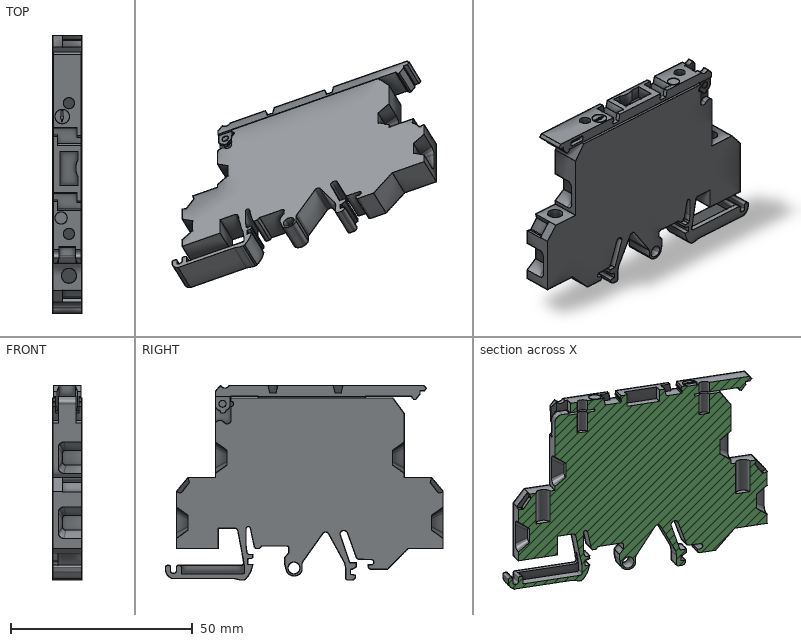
import cadquery as cq
import math

THICKNESS = 8.1
HEIGHT = 53.6
MID_Y = 1.5
LOWER_HALF = 36.7
UPPER_HALF = 26.0
SHOULDER_Z = 28.3
SHOULDER_BEVEL_Y = 3.2
SHOULDER_BEVEL_Z = 3.8
UNDERSIDE_Z = 8.7
BODY_TOP = 50.2
TOP_BEVEL_Y = 3.1
TOP_BEVEL_Z = 4.3

FRONT_LOWER = MID_Y - LOWER_HALF
FRONT_UPPER = MID_Y - UPPER_HALF
BACK_LOWER = MID_Y + LOWER_HALF
BACK_UPPER = MID_Y + UPPER_HALF

ROUND_INSET = 1 - math.sqrt(0.5)

COVER_BOTTOM = 50.65
COVER_INSET = 0.2
COVER_WIDTH = THICKNESS - 2 * COVER_INSET
PAD_INSET = 0.8
PAD_BACK, PAD_FRONT = 16.8, -12.7

CORE_INSET = 1.7
HINGE_BACK = -20.2
ARM_OUTER = 0.8
ARM_BACK = -20.4
ARM_TOOTH_Z = 46.05
PIVOT_Y, PIVOT_Z = -22.5, 48.6
PIVOT_RADIUS = 0.96
PIVOT_DEPTH = 0.15
CORE_ROUND = 2.15
NOTCH_BACK = -19.9
NOTCH_INSET = 1.8
NOTCH_MOUTH_INSET = 1.2
NOTCH_FLARE_START = -23.1

ENTRY_CENTRES_Z = (15.8, 33.7)
ENTRY_DEPTH = 3.2
ENTRY_MOUTH_X, ENTRY_MOUTH_HEIGHT, ENTRY_MOUTH_ROUND = 1.6, 8.65, 1.5
ENTRY_FLOOR_X, ENTRY_FLOOR_HEIGHT, ENTRY_FLOOR_ROUND = 2.75, 4.05, 0.9

SCREW_X = 4.5
SHOULDER_SCREW_OFFSET = 29.45
SHOULDER_SCREW_RADIUS = 2.1
COVER_SCREWS_Y = (19.6, -16.4)
COVER_SCREW_RADIUS = 1.5
SCREW_DEPTH = 9.2

SEAT_X = 2.75

LABEL_SLOT_OFFSETS = (0, -18.0)
LABEL_FLOOR = 51.55
LABEL_STEP_LEFT, LABEL_STEP_RIGHT = 1.4, 6.7

WINDOW_X0, WINDOW_X1 = 2.1, 6.95
WINDOW_Y0, WINDOW_Y1 = -3.1, 6.35

GRIP_Y, GRIP_Z = 26.8, 52.0
GRIP_LENGTH, GRIP_WIDTH, GRIP_DEPTH, GRIP_ROUND = 4.5, 1.45, 1.15, 0.45

DIALS = ((2.7, 15.9, 2.0), (2.4, -12.0, 1.7))
DIAL_DEPTH = 0.15

LEVER_TOP = 4.1
LEVER_FLOOR = 1.75
LEVER_RIB = 1.45
LEVER_LIP_Y = -33.8
LEVER_LIP_ROUND = 0.7
LEVER_ROOT = (-17.1, 7.4)

RING_Y, RING_Z = -2.8, 3.4
RING_BORE_RADIUS = 1.6


def profile(start, steps):
    """Closed YZ outline: a (y, z) step is a line, a (via, end) step is an arc."""
    wire = cq.Workplane("YZ").moveTo(*start)
    for first, second in steps:
        if isinstance(first, tuple):
            wire = wire.threePointArc(first, second)
        else:
            wire = wire.lineTo(first, second)
    return wire.close()


def slab(start, steps, x0, x1):
    """Extrude a YZ outline from x0 to x1."""
    return profile(start, steps).extrude(x1 - x0).translate((x0, 0, 0))


def box(x0, x1, y0, y1, z0, z1):
    return cq.Workplane("XY").box(x1 - x0, y1 - y0, z1 - z0, centered=False).translate((x0, y0, z0))


def mirror_x(shape):
    """Copy to the opposite broad face."""
    return shape.mirror("YZ", (THICKNESS / 2, 0, 0))


def mirror_y(shape):
    """Copy to the opposite end of the housing."""
    return shape.mirror("XZ", (0, MID_Y, 0))


def housing():
    upper = [
        (BACK_LOWER, SHOULDER_Z - SHOULDER_BEVEL_Z),
        (BACK_LOWER, UNDERSIDE_Z),
    ]
    fixed_foot = [
        (28.6, UNDERSIDE_Z), (22.95, 3.0), (18.3, 3.0),
        ((17.8, 3.2), (17.6, 3.7)), (17.6, 4.3), (18.5, 4.3),
        ((19.1, 4.9), (18.5, 5.65)), (15.15, 5.7), ((14.6, 5.9), (14.3, 6.3)),
        (11.9, 12.85), ((11.25, 13.6), (9.9, 12.7)),
    ]
    clamp_leg = [
        (12.55, 4.8), (14.4, 4.8), (14.4, 3.7), (13.2, 3.0), (12.8, 3.0), (12.8, 1.6),
        (13.3, 1.6), (14.15, 1.4), ((13.9, 0.45), (13.15, 0)), (12.1, 0), ((11.6, 0.15), (11.4, 0.6)),
        (11.4, 3.2), (11.1, 4.75),
    ]
    rail_notch = [(6.7, 12.7), ((5.9, 13.2), (5.1, 12.85)), (-0.3, 5.2), (-0.6, 4.6)]
    ring_boss = [
        (-0.6, 2.6), ((-2.7, 1.15), (-4.9, 2.5)), (-5.4, 4.6), (-5.4, 6.2), (-4.3, 7.6),
        (-4.3, 8.8), ((-4.4, 9.25), (-4.9, 9.4)),
    ]
    stop_nose = [
        (-11.7, 9.4), (-12.3, UNDERSIDE_Z), (-13.4, UNDERSIDE_Z), (-13.8, 9.2),
        (-14.85, 14.2), ((-15.45, 14.8), (-16.0, 14.2)),
    ]
    spring_leg = [
        (-16.0, 9.5), (-15.75, 7.65), (-15.4, 7.1), (-14.15, 7.1), (-14.15, 6.3), (-14.5, 6.0),
        (-15.5, 5.9), (-15.5, 4.35), (-14.15, 4.35), ((-14.8, 2.3), (-16.2, 0.2)), (-16.7, 0), (-17.45, 0),
    ]
    release_lever = [
        (-19.35, 0.45), (-36.4, 0.45), ((-37.7, 1.45), (-38.25, 3.05)), (-38.25, 3.5),
        ((-38.0, 4.0), (-37.6, LEVER_TOP)), (-37.4, LEVER_TOP), ((-36.95, 4.0), (-36.8, 3.5)),
        (-36.8, 2.6), ((-36.65, 2.15), (-36.2, 2.0)), (-35.9, 2.0), ((-35.4, 2.15), (-35.2, 2.6)),
        (-35.2, 3.6), ((-35.0, 4.0), (-34.6, LEVER_TOP)),
        (-17.4, LEVER_TOP), ((-16.8, 4.4), (-16.8, 5.35)), LEVER_ROOT,
    ]
    lever_gap = [(-18.3, 13.5), ((-18.5, 14.0), (-19.1, 14.3)), (-23.65, 14.3), (-23.65, UNDERSIDE_Z)]
    front = [
        (FRONT_LOWER, UNDERSIDE_Z), (FRONT_LOWER, SHOULDER_Z - SHOULDER_BEVEL_Z),
        (FRONT_LOWER + SHOULDER_BEVEL_Y, SHOULDER_Z), (FRONT_UPPER, SHOULDER_Z),
        (FRONT_UPPER, BODY_TOP), (BACK_UPPER - TOP_BEVEL_Y, BODY_TOP),
        (BACK_UPPER, BODY_TOP - TOP_BEVEL_Z), (BACK_UPPER, SHOULDER_Z),
    ]
    steps = (upper + fixed_foot + clamp_leg + rail_notch + ring_boss
             + stop_nose + spring_leg + release_lever + lever_gap + front)
    bore = cq.Workplane("YZ").center(RING_Y, RING_Z).circle(RING_BORE_RADIUS).extrude(THICKNESS)
    return slab((BACK_LOWER - SHOULDER_BEVEL_Y, SHOULDER_Z), steps, 0, THICKNESS).cut(bore)


def lever_pocket():
    """Hollow of the release lever, leaving a rib along the -X side and a lip at the free end."""
    arc_inset = LEVER_LIP_ROUND * ROUND_INSET
    steps = [
        ((-16.6, 5.0), (-16.45, 2.45)), ((-16.5, 2.0), (-17.0, LEVER_FLOOR)), (LEVER_LIP_Y, LEVER_FLOOR),
        (LEVER_LIP_Y, LEVER_TOP - LEVER_LIP_ROUND),
        ((LEVER_LIP_Y - arc_inset, LEVER_TOP - arc_inset), (LEVER_LIP_Y - LEVER_LIP_ROUND, LEVER_TOP)),
        (-18.35, LEVER_TOP),
    ]
    return slab(LEVER_ROOT, steps, LEVER_RIB, THICKNESS)


def entry_section(x0, height, corner_round, depth, centre_z, face_y):
    """Rounded rectangle parallel to the end face, running out past the +X side."""
    length = 2 * (THICKNESS - x0)
    return (cq.Sketch().rect(length, height).vertices().fillet(corner_round)
            .moved(cq.Location(cq.Plane((THICKNESS, face_y + depth, centre_z), (1, 0, 0), (0, -1, 0)))))


def conductor_entry(centre_z, face_y):
    mouth = entry_section(ENTRY_MOUTH_X, ENTRY_MOUTH_HEIGHT, ENTRY_MOUTH_ROUND, 0, centre_z, face_y)
    floor = entry_section(ENTRY_FLOOR_X, ENTRY_FLOOR_HEIGHT, ENTRY_FLOOR_ROUND, ENTRY_DEPTH, centre_z, face_y)
    return cq.Workplane("XY").placeSketch(mouth, floor).loft(ruled=True)


def shoulder_seat():
    """Sunken strip along the shoulder bevel, with a small lip at its upper and lower ends."""
    bevel_top_y = FRONT_LOWER + SHOULDER_BEVEL_Y
    bevel_bottom_z = SHOULDER_Z - SHOULDER_BEVEL_Z
    steps = [
        (bevel_top_y + 0.15, 27.6), (bevel_top_y + 0.4, 26.9),
        (-33.7, 24.2), (-34.1, 24.0), (FRONT_LOWER, bevel_bottom_z - 0.15), (FRONT_LOWER - 0.8, bevel_bottom_z),
    ]
    return slab((bevel_top_y, SHOULDER_Z), steps, SEAT_X, THICKNESS)


def screw_hole(y, top_z, radius):
    return cq.Workplane("XY", origin=(SCREW_X, y, top_z - SCREW_DEPTH)).circle(radius).extrude(SCREW_DEPTH)


def end_openings():
    front = shoulder_seat()
    front = front.union(screw_hole(MID_Y - SHOULDER_SCREW_OFFSET, SHOULDER_Z, SHOULDER_SCREW_RADIUS))
    for centre_z, face_y in zip(ENTRY_CENTRES_Z, (FRONT_LOWER, FRONT_UPPER)):
        front = front.union(conductor_entry(centre_z, face_y))
    return front.union(mirror_y(front))


def hinge_recess():
    """Side pocket at the upper front corner with a wavy floor and a round relief at the back."""
    steps = [
        (HINGE_BACK, 49.3), ((HINGE_BACK + 0.8, 48.5), (HINGE_BACK, 47.8)),
        (HINGE_BACK, 43.8), ((-20.95, 43.1), (-22.0, 43.45)), ((-23.2, 44.0), (FRONT_UPPER, 43.3)),
        (FRONT_UPPER, BODY_TOP),
    ]
    return slab((HINGE_BACK, BODY_TOP), steps, 0, CORE_INSET)


def hinge_core():
    """Rounded bearing block between the two hinge arms."""
    arc_inset = CORE_ROUND * ROUND_INSET
    core_bottom = COVER_BOTTOM - CORE_ROUND
    steps = [
        (FRONT_UPPER + CORE_ROUND, COVER_BOTTOM),
        ((FRONT_UPPER + arc_inset, COVER_BOTTOM - arc_inset), (FRONT_UPPER, core_bottom)),
        (HINGE_BACK, core_bottom),
    ]
    return slab((HINGE_BACK, COVER_BOTTOM), steps, CORE_INSET, THICKNESS - CORE_INSET)


def core_corner():
    """Square corner of the housing that is removed to make room for the rounded core."""
    return box(0, THICKNESS, FRONT_UPPER, HINGE_BACK, COVER_BOTTOM - CORE_ROUND, BODY_TOP)


def hinge_arm():
    """Cover arm reaching down beside the core, with a stop tooth at its lower end."""
    steps = [
        (ARM_BACK, 48.2), ((-20.7, 47.35), (-21.5, 46.8)), (-21.7, 46.3),
        (-22.0, ARM_TOOTH_Z), (-22.95, ARM_TOOTH_Z), (-23.2, 46.7),
        ((-23.95, 47.05), (FRONT_UPPER, 47.9)), (FRONT_UPPER, COVER_BOTTOM),
    ]
    arm = slab((ARM_BACK, COVER_BOTTOM), steps, ARM_OUTER, CORE_INSET)
    pivot = cq.Workplane("YZ", origin=(ARM_OUTER, 0, 0)).center(PIVOT_Y, PIVOT_Z).circle(PIVOT_RADIUS)
    return arm.cut(pivot.extrude(PIVOT_DEPTH))


def cover_blank():
    steps = [
        (-20.65, HEIGHT), ((-21.9, 52.9), (-23.0, HEIGHT)), (FRONT_UPPER, 52.0),
        (FRONT_UPPER, COVER_BOTTOM), (29.7, COVER_BOTTOM), (29.5, 50.4), (30.2, 49.7), (30.7, 49.7),
        (31.9, 51.25), (31.9, 52.1), (33.05, 52.1), (33.65, 52.8),
    ]
    return slab((33.0, HEIGHT), steps, COVER_INSET, COVER_INSET + COVER_WIDTH)


def hinge_notch():
    """Opening over the hinge core, flared at its mouth along the cover and the arms."""
    bottom = ARM_TOOTH_Z
    points = [
        (NOTCH_INSET, NOTCH_BACK), (NOTCH_INSET, NOTCH_FLARE_START), (NOTCH_MOUTH_INSET, FRONT_UPPER),
        (THICKNESS - NOTCH_MOUTH_INSET, FRONT_UPPER), (THICKNESS - NOTCH_INSET, NOTCH_FLARE_START),
        (THICKNESS - NOTCH_INSET, NOTCH_BACK),
    ]
    return cq.Workplane("XY", origin=(0, 0, bottom)).polyline(points).close().extrude(HEIGHT - bottom)


def label_slot(offset):
    """Stepped label slot: a rear part open to -X and a front part open to +X."""
    back_wall = [(12.85, 52.85), (12.7, 52.55), (13.1, 52.25), (13.1, 51.9), (12.85, LABEL_FLOOR)]
    front_wall = [(8.5, LABEL_FLOOR), (7.95, HEIGHT)]
    wall_top = (12.9, HEIGHT)
    rear_part = slab(wall_top, back_wall + [(10.9, LABEL_FLOOR), (10.5, HEIGHT)], 0, LABEL_STEP_LEFT)
    middle = slab(wall_top, back_wall + front_wall, LABEL_STEP_LEFT, LABEL_STEP_RIGHT)
    front_part = slab((10.6, HEIGHT), [(10.2, LABEL_FLOOR)] + front_wall, LABEL_STEP_RIGHT, THICKNESS)
    return rear_part.union(middle).union(front_part).translate((0, offset, 0))


def window():
    """Rectangular opening whose +X wall bulges inwards."""
    return (cq.Workplane("XY", origin=(0, 0, BODY_TOP))
            .moveTo(WINDOW_X0, WINDOW_Y0).lineTo(WINDOW_X1, WINDOW_Y0).lineTo(WINDOW_X1, -0.6)
            .threePointArc((6.4, 1.7), (WINDOW_X1, 4.0)).lineTo(WINDOW_X1, WINDOW_Y1)
            .lineTo(WINDOW_X0, WINDOW_Y1).close().extrude(HEIGHT - BODY_TOP))


def grip_slot():
    """Rounded blind slot in the -X side of the cover near its free end."""
    return (cq.Workplane("YZ", origin=(COVER_INSET, GRIP_Y, GRIP_Z))
            .rect(GRIP_LENGTH, GRIP_WIDTH).extrude(GRIP_DEPTH).edges("|X").fillet(GRIP_ROUND))


def dial_recess(x, y, radius):
    return cq.Workplane("XY", origin=(x, y, HEIGHT - DIAL_DEPTH)).circle(radius).extrude(DIAL_DEPTH)


def dial_arrow():
    """Raised pointer inside the larger dial."""
    points = [(2.3, 17.6), (2.8, 17.6), (2.8, 15.9), (3.05, 15.8), (2.6, 14.4), (2.15, 15.8), (2.3, 15.9)]
    return cq.Workplane("XY", origin=(0, 0, HEIGHT - DIAL_DEPTH)).polyline(points).close().extrude(DIAL_DEPTH)


body = housing().cut(lever_pocket()).cut(end_openings())
recess = hinge_recess()
body = body.cut(recess).cut(mirror_x(recess)).cut(core_corner()).union(hinge_core())

cover = cover_blank()
cover = cover.union(box(PAD_INSET, THICKNESS - PAD_INSET, PAD_FRONT, PAD_BACK, BODY_TOP, COVER_BOTTOM))
arm = hinge_arm()
cover = cover.union(arm).union(mirror_x(arm))
cover = cover.cut(hinge_notch()).cut(window()).cut(grip_slot())
for slot_offset in LABEL_SLOT_OFFSETS:
    cover = cover.cut(label_slot(slot_offset))
for dial_x, dial_y, dial_radius in DIALS:
    cover = cover.cut(dial_recess(dial_x, dial_y, dial_radius))
cover = cover.union(dial_arrow())

result = body.union(cover)
for screw_y in COVER_SCREWS_Y:
    result = result.cut(screw_hole(screw_y, HEIGHT, COVER_SCREW_RADIUS))